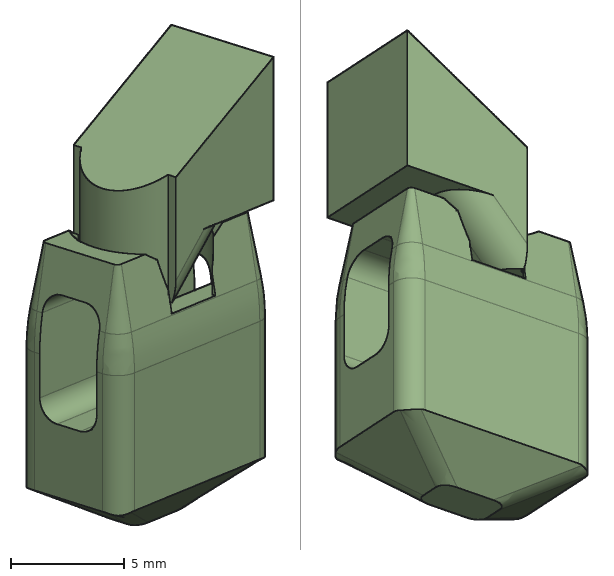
import cadquery as cq
import math

total_height = 20.75
width = 6.0
length = 10.4
half_width = width / 2
half_length = length / 2

corner_radius = 1.0
tip_height = 2.0
tip_end_angle = 30
tip_side_angle = 45
straight_top = 8.53
blend_top = 10.42
housing_height = 13.47
blend_radius = 10.0
core_half_width = half_width - corner_radius
core_half_length = half_length - corner_radius

window_width = 3.35
window_bottom = 5.45
window_top = 11.44
window_radius = 1.0
notch_floor = 10.48
notch_length = 2.93
socket_radius = 2.99
socket_chamfer = 0.44

wedge_back = 5.15
nose_radius = 2.9
shoulder_y = -1.41
wedge_slope = 30
head_bottom = 13.97
wedge_bottom = 10.96
ramp_start_y = 2.57
ramp_edge_radius = 1.5


def wall_profile(plane, core_half):
    """Half section of the housing wall, from the centre line outward."""
    wall = core_half + corner_radius
    angle = math.asin((blend_top - straight_top) / blend_radius)
    blend_inset = blend_radius * (1 - math.cos(angle))
    middle_inset = blend_radius * (1 - math.cos(angle / 2))
    middle_z = straight_top + blend_radius * math.sin(angle / 2)
    top_inset = blend_inset + (housing_height - blend_top) * math.tan(angle)
    return (
        cq.Workplane(plane)
        .moveTo(0, 0)
        .lineTo(wall, 0)
        .lineTo(wall, straight_top)
        .threePointArc((wall - middle_inset, middle_z), (wall - blend_inset, blend_top))
        .lineTo(wall - top_inset, housing_height)
        .lineTo(0, housing_height)
        .close()
    )


def make_housing_block():
    """Tapered block whose corners stay concentric with the corner axes."""
    side = wall_profile("XZ", core_half_width).extrude(core_half_length, both=True)
    end = wall_profile("YZ", core_half_length).extrude(core_half_width, both=True)
    block = side.union(side.mirror("YZ")).union(end).union(end.mirror("XZ"))
    corner = wall_profile("XZ", 0).revolve(360, (0, 0), (0, 1))
    for x in (-core_half_width, core_half_width):
        for y in (-core_half_length, core_half_length):
            block = block.union(corner.translate((x, y, 0)))
    return block


def make_tip_envelope():
    """Inverted pyramid with rounded hips that shapes the housing's lower end."""
    side_slope = 1 / math.tan(math.radians(tip_side_angle))
    end_slope = 1 / math.tan(math.radians(tip_end_angle))
    bottom_width = width - 2 * tip_height * side_slope
    bottom_length = length - 2 * tip_height * end_slope
    return (
        cq.Workplane("XY")
        .rect(bottom_width, bottom_length)
        .workplane(offset=housing_height)
        .rect(bottom_width + 2 * housing_height * side_slope, bottom_length + 2 * housing_height * end_slope)
        .loft(ruled=True)
        .edges("not(#Z)")
        .fillet(corner_radius)
    )


def make_window():
    """Rounded opening that passes through the housing along Y."""
    return (
        cq.Workplane("XZ")
        .center(0, (window_bottom + window_top) / 2)
        .rect(window_width, window_top - window_bottom)
        .extrude(half_length, both=True)
        .edges("|Y")
        .fillet(window_radius)
    )


def make_socket():
    """Cross notch and chamfered round socket that leave two posts."""
    depth = housing_height - notch_floor
    base = cq.Workplane("XY").workplane(offset=notch_floor)
    notch = base.rect(width, notch_length).extrude(depth)
    bore = base.circle(socket_radius).extrude(depth)
    chamfer = (
        cq.Workplane("XY")
        .workplane(offset=housing_height - socket_chamfer)
        .circle(socket_radius)
        .workplane(offset=socket_chamfer)
        .circle(socket_radius + socket_chamfer)
        .loft(ruled=True)
    )
    return notch.union(bore).union(chamfer)


def make_housing():
    block = make_housing_block().intersect(make_tip_envelope())
    return block.cut(make_window()).cut(make_socket())


def make_wedge():
    """Sloped head with a round nose and a 45 degree ramp with rounded edges."""
    nose_top = total_height - (wedge_back + nose_radius) * math.tan(math.radians(wedge_slope))
    ramp_end_y = ramp_start_y - (head_bottom - wedge_bottom)
    body = (
        cq.Workplane("YZ")
        .moveTo(wedge_back, total_height)
        .lineTo(-nose_radius, nose_top)
        .lineTo(-nose_radius, wedge_bottom)
        .lineTo(ramp_end_y, wedge_bottom)
        .lineTo(ramp_start_y, head_bottom)
        .lineTo(wedge_back, head_bottom)
        .close()
        .extrude(half_width, both=True)
    )

    ramp_top_y = ramp_start_y + total_height - head_bottom
    ramp_low_y = ramp_start_y - head_bottom
    ramp = (
        cq.Workplane("YZ")
        .moveTo(ramp_low_y, 0)
        .lineTo(ramp_top_y, total_height)
        .lineTo(ramp_low_y, total_height)
        .close()
        .extrude(half_width, both=True)
        .edges("not(|X or |Y or |Z)")
        .edges("<(0, -1, 1)")
        .fillet(ramp_edge_radius)
    )
    head_height = total_height - head_bottom
    head = cq.Workplane("XY").workplane(offset=head_bottom).rect(width, length).extrude(head_height)

    shoulder_block = (
        cq.Workplane("XY")
        .center(0, (shoulder_y + wedge_back) / 2)
        .rect(width, wedge_back - shoulder_y)
        .extrude(total_height)
    )
    nose_half_width = math.sqrt(nose_radius**2 - shoulder_y**2)
    nose = (
        cq.Workplane("XY")
        .moveTo(-nose_half_width, shoulder_y)
        .threePointArc((0, -nose_radius), (nose_half_width, shoulder_y))
        .close()
        .extrude(total_height)
    )
    return body.intersect(ramp.union(head)).intersect(shoulder_block.union(nose))


housing = make_housing().solids()
wedge = make_wedge().solids()

result = cq.Compound.makeCompound([housing.val(), wedge.val()])